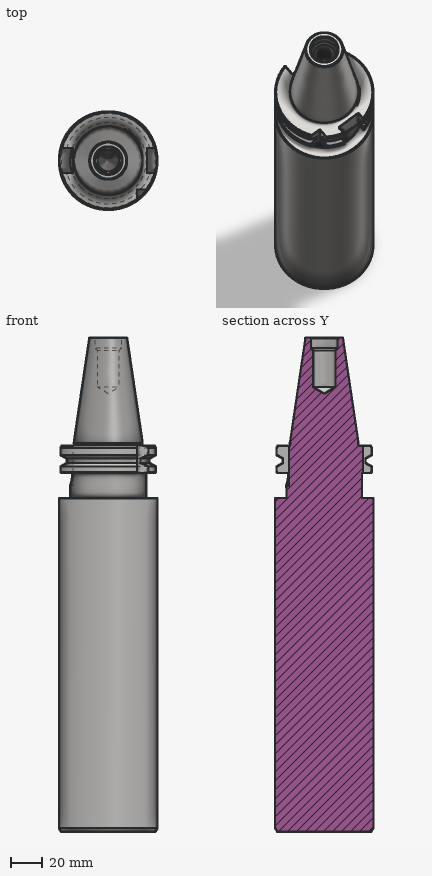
import cadquery as cq
import math

TOTAL_LENGTH = 318.4
BODY_LENGTH = 215.0
BODY_DIAMETER = 63.54
BODY_END_CHAMFER_WIDTH = 1.5
BODY_END_CHAMFER_HEIGHT = 2.5
BODY_TOP_CHAMFER = 0.5
NECK_DIAMETER = 49.0

TAPER_LENGTH = 68.4
TAPER_RATIO = 7 / 24
GAUGE_DIAMETER = 44.45
GAUGE_LAND = 0.5
TAPER_END_CHAMFER = 0.6
UNDERCUT_DEPTH = 0.4
UNDERCUT_FILLET = 1.2

FLANGE_DIAMETER = 63.54
FLANGE_TOP_BELOW_GAUGE = 1.4
FLANGE_BOTTOM_BELOW_GAUGE = 19.1
FLANGE_CHAMFER_WIDTH = 0.8
FLANGE_CHAMFER_HEIGHT = 1.5
FLANGE_BOTTOM_CHAMFER = 0.8
GROOVE_CENTRE_BELOW_GAUGE = 11.1
GROOVE_FLOOR_DIAMETER = 55.8
GROOVE_FLOOR_WIDTH = 2.9
GROOVE_FLANK_ANGLE = 30.0

SLOT_WIDTH = 16.1
SLOT_END_BELOW_GAUGE = 27.15
SLOT_FLOOR_NEG_X = 22.8
SLOT_FLOOR_POS_X = 25.0
NOTCH_OFFSET = 18.5

BORE_MOUTH_CHAMFER = 0.7
COUNTERBORE_DIAMETER = 17.0
COUNTERBORE_DEPTH = 7.0
BORE_DIAMETER = 14.0
BORE_DEPTH = 32.0
DRILL_POINT_ANGLE = 118.0

GAUGE_Z = TOTAL_LENGTH - TAPER_LENGTH
FLANGE_TOP_Z = GAUGE_Z - FLANGE_TOP_BELOW_GAUGE
FLANGE_BOTTOM_Z = GAUGE_Z - FLANGE_BOTTOM_BELOW_GAUGE
BODY_RADIUS = BODY_DIAMETER / 2
NECK_RADIUS = NECK_DIAMETER / 2
FLANGE_RADIUS = FLANGE_DIAMETER / 2
GAUGE_RADIUS = GAUGE_DIAMETER / 2
TAPER_TOP_RADIUS = GAUGE_RADIUS - TAPER_LENGTH * TAPER_RATIO / 2
UNDERCUT_RADIUS = GAUGE_RADIUS - UNDERCUT_DEPTH


def turned_blank():
    """Body, neck, grooved flange and taper, turned about the Z axis."""
    groove_z = GAUGE_Z - GROOVE_CENTRE_BELOW_GAUGE
    groove_floor_radius = GROOVE_FLOOR_DIAMETER / 2
    flank_rise = (FLANGE_RADIUS - groove_floor_radius) * math.tan(math.radians(GROOVE_FLANK_ANGLE))
    half_floor = GROOVE_FLOOR_WIDTH / 2
    half_mouth = half_floor + flank_rise
    fillet_centre_r = UNDERCUT_RADIUS + UNDERCUT_FILLET
    fillet_centre_z = FLANGE_TOP_Z + UNDERCUT_FILLET
    fillet_mid = UNDERCUT_FILLET * math.sqrt(0.5)
    lower_outline = [
        (0, 0),
        (BODY_RADIUS - BODY_END_CHAMFER_WIDTH, 0),
        (BODY_RADIUS, BODY_END_CHAMFER_HEIGHT),
        (BODY_RADIUS, BODY_LENGTH - BODY_TOP_CHAMFER),
        (BODY_RADIUS - BODY_TOP_CHAMFER, BODY_LENGTH),
        (NECK_RADIUS, BODY_LENGTH),
        (NECK_RADIUS, FLANGE_BOTTOM_Z),
        (FLANGE_RADIUS - FLANGE_BOTTOM_CHAMFER, FLANGE_BOTTOM_Z),
        (FLANGE_RADIUS, FLANGE_BOTTOM_Z + FLANGE_BOTTOM_CHAMFER),
        (FLANGE_RADIUS, groove_z - half_mouth),
        (groove_floor_radius, groove_z - half_floor),
        (groove_floor_radius, groove_z + half_floor),
        (FLANGE_RADIUS, groove_z + half_mouth),
        (FLANGE_RADIUS, FLANGE_TOP_Z - FLANGE_CHAMFER_HEIGHT),
        (FLANGE_RADIUS - FLANGE_CHAMFER_WIDTH, FLANGE_TOP_Z),
        (fillet_centre_r, FLANGE_TOP_Z),
    ]
    profile = (
        cq.Workplane("XZ")
        .polyline(lower_outline)
        .threePointArc(
            (fillet_centre_r - fillet_mid, fillet_centre_z - fillet_mid),
            (UNDERCUT_RADIUS, fillet_centre_z),
        )
        .lineTo(UNDERCUT_RADIUS, GAUGE_Z)
        .lineTo(GAUGE_RADIUS, GAUGE_Z + GAUGE_LAND)
        .lineTo(TAPER_TOP_RADIUS, TOTAL_LENGTH - TAPER_END_CHAMFER)
        .lineTo(TAPER_TOP_RADIUS - TAPER_END_CHAMFER, TOTAL_LENGTH)
        .lineTo(0, TOTAL_LENGTH)
        .close()
    )
    return profile.revolve(360, (0, 0), (0, 1))


def drawbar_bore():
    """Chamfered counterbore, 45 degree shoulder and drilled hole in the small end of the taper."""
    counterbore_radius = COUNTERBORE_DIAMETER / 2
    bore_radius = BORE_DIAMETER / 2
    shoulder_z = TOTAL_LENGTH - COUNTERBORE_DEPTH
    shoulder_height = counterbore_radius - bore_radius
    bore_end_z = TOTAL_LENGTH - BORE_DEPTH
    point_depth = bore_radius / math.tan(math.radians(DRILL_POINT_ANGLE / 2))
    outline = [
        (0, TOTAL_LENGTH),
        (counterbore_radius + BORE_MOUTH_CHAMFER, TOTAL_LENGTH),
        (counterbore_radius, TOTAL_LENGTH - BORE_MOUTH_CHAMFER),
        (counterbore_radius, shoulder_z),
        (bore_radius, shoulder_z - shoulder_height),
        (bore_radius, bore_end_z),
        (0, bore_end_z - point_depth),
    ]
    return cq.Workplane("XZ").polyline(outline).close().revolve(360, (0, 0), (0, 1))


def drive_slot(floor_distance, side):
    """Round-ended slot cutter; side is +1 or -1 along X, floor_distance is from the axis."""
    half_width = SLOT_WIDTH / 2
    arc_bottom_z = GAUGE_Z - SLOT_END_BELOW_GAUGE
    arc_centre_z = arc_bottom_z + half_width
    return (
        cq.Workplane("YZ", origin=(side * floor_distance, 0, 0))
        .moveTo(-half_width, GAUGE_Z)
        .lineTo(-half_width, arc_centre_z)
        .threePointArc((0, arc_bottom_z), (half_width, arc_centre_z))
        .lineTo(half_width, GAUGE_Z)
        .close()
        .extrude(side * FLANGE_RADIUS)
    )


def orientation_notch():
    """Square-cornered notch through the full flange at the +X, -Y corner."""
    notch_height = FLANGE_TOP_Z - FLANGE_BOTTOM_Z
    return (
        cq.Workplane("XY")
        .box(FLANGE_RADIUS, FLANGE_RADIUS, notch_height, centered=False)
        .translate((NOTCH_OFFSET, -NOTCH_OFFSET - FLANGE_RADIUS, FLANGE_BOTTOM_Z))
    )


result = (
    turned_blank()
    .cut(drawbar_bore())
    .cut(drive_slot(SLOT_FLOOR_NEG_X, -1))
    .cut(drive_slot(SLOT_FLOOR_POS_X, 1))
    .cut(orientation_notch())
)